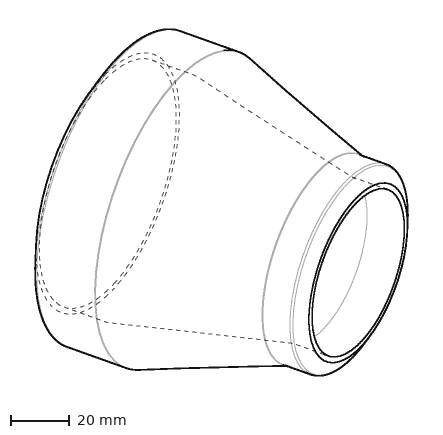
import cadquery as cq

length = 100.0
large_radius = 114.3 / 2
small_radius = 76.1 / 2
large_bore_radius = 89.3 / 2
small_bore_radius = 60.1 / 2

large_collar_length = 30.0
small_collar_length = 15.0
cone_start = large_collar_length
cone_end = length - small_collar_length

bore_cone_start = 16.5

land_width = 2.1
large_bevel_length = 6.1
small_bevel_length = 3.4

edge_radius = 1.0
radius_tolerance = 0.01

outer_profile = [
    (0, large_bore_radius + land_width),
    (large_bevel_length, large_radius),
    (cone_start, large_radius),
    (cone_end, small_radius),
    (length - small_bevel_length, small_radius),
    (length, small_bore_radius + land_width),
]
bore_profile = [
    (length, small_bore_radius),
    (cone_end, small_bore_radius),
    (bore_cone_start, large_bore_radius),
    (0, large_bore_radius),
]

reducer = (
    cq.Workplane("XY")
    .polyline(outer_profile + bore_profile)
    .close()
    .revolve(360, (0, 0, 0), (1, 0, 0))
)

collar_edges = [
    edge
    for edge in reducer.edges("%CIRCLE").vals()
    if min(abs(edge.radius() - radius) for radius in (large_radius, small_radius)) < radius_tolerance
]
result = reducer.newObject(collar_edges).fillet(edge_radius)